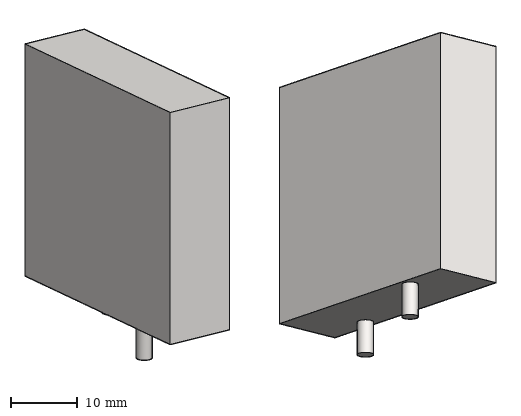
import cadquery as cq

housing_width = 37.0
housing_depth = 11.0
total_height = 42.1
pin_length = 5.1
housing_height = total_height - pin_length

pin_diameter = 2.5
pin_pitch_x = 18.95
pin_pitch_y = 7.5
pin_positions = [
    (-pin_pitch_x / 2, pin_pitch_y / 2),
    (pin_pitch_x / 2, -pin_pitch_y / 2),
]


def make_housing():
    """Block standing on the XY plane, centred on the Z axis."""
    return cq.Workplane("XY").box(
        housing_width, housing_depth, housing_height, centered=(True, True, False)
    )


def make_pin(x, y):
    """Round lead hanging down from the underside of the housing."""
    return cq.Workplane("XY").center(x, y).circle(pin_diameter / 2).extrude(-pin_length)


housing = make_housing()

pins = []
for x, y in pin_positions:
    pins.append(make_pin(x, y).val())

result = cq.Compound.makeCompound([housing.val(), *pins])